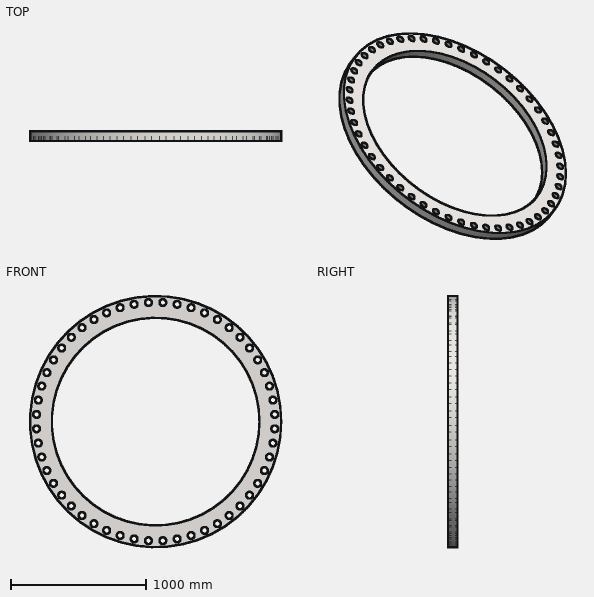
import cadquery as cq

outer_diameter = 1855.0
inner_diameter = 1530.0
thickness = 72.0

bolt_circle_diameter = 1760.0
bolt_hole_diameter = 48.0
bolt_count = 52
first_bolt_angle = 360 / bolt_count / 2


def make_ring():
    """Plain ring centred on the origin."""
    return (
        cq.Workplane("XZ", origin=(0, thickness / 2, 0))
        .circle(outer_diameter / 2)
        .circle(inner_diameter / 2)
        .extrude(thickness)
    )


def make_bolt_holes():
    """Cutters for the through holes on the bolt circle."""
    return (
        cq.Workplane("XZ")
        .polarArray(bolt_circle_diameter / 2, first_bolt_angle, 360, bolt_count)
        .circle(bolt_hole_diameter / 2)
        .extrude(thickness, both=True)
    )


result = make_ring().cut(make_bolt_holes())